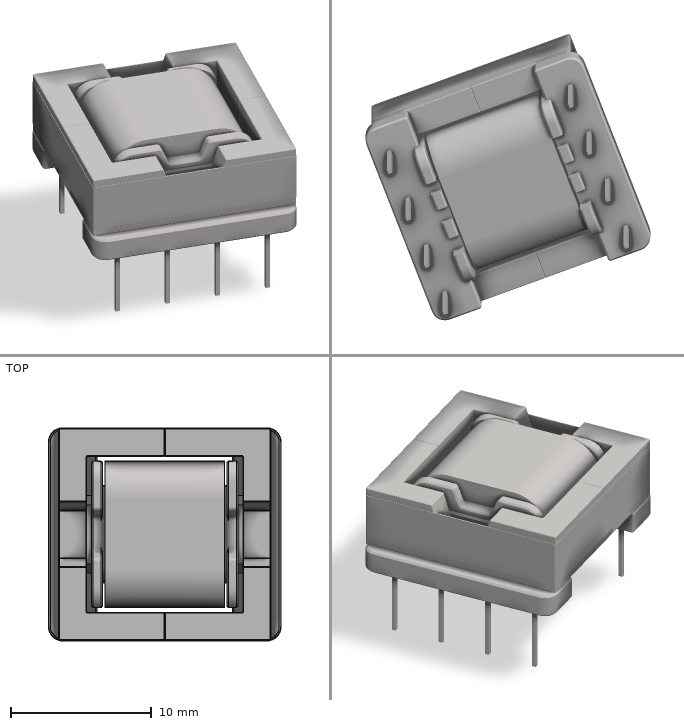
import cadquery as cq


core_length = 15.04
core_width = 15.04
core_height = 4.65
core_edge = 0.05
window_length = 11.1
window_width = 11.06

winding_axis_z = -0.83
leg_width = 5.5
leg_height = 3.06
leg_chamfer = 0.66

notch_top_width = 4.62
notch_floor_width = 3.42
notch_floor_z = 0.37

tape_thickness = 0.03
tape_height = 3.47
tape_corner = 0.15

tube_width = 6.92
tube_height = 4.0
tube_corner = 1.3
tube_top = winding_axis_z + tube_height / 2

flange_width = 10.4
flange_top = 2.58
flange_bottom = -5.72
flange_corner = 1.37
flange_outer_x = 5.2
flange_thickness = 0.8
flange_edge = 0.12
flange_centre_x = flange_outer_x - flange_thickness / 2
flange_height = flange_top - flange_bottom
flange_centre_z = (flange_top + flange_bottom) / 2

flange_notch_top_width = 3.5
flange_notch_floor_width = 2.36
flange_notch_fillet = 0.3

slot_width = 1.08
slot_pitch = 2.26
tab_bottom = -4.9
tab_span = 2 * slot_pitch

bar_outer_x = 8.25
bar_length = 3.45
bar_width = 15.1
bar_top = -2.4
bar_bottom = -4.1
bar_corner = 1.0
bar_edge = 0.13

coil_length = 8.48
coil_width = 10.4
coil_height = 7.48
coil_corner = 2.6

pin_size = 0.3
pin_row_x = 6.875
pin_pitch = 3.7
pins_per_row = 4
pin_bottom = -9.21


def block(length, width, height, centre_x=0, centre_z=0):
    """A plain block, symmetric about the XZ plane."""
    return cq.Workplane("XY").box(length, width, height).translate((centre_x, 0, centre_z))


def tapered_notch(length, top_width, floor_width, top_z, floor_z, centre_x):
    """A cutter with sloping sides, running along X."""
    return (
        cq.Workplane("YZ")
        .moveTo(-top_width / 2, top_z)
        .lineTo(-floor_width / 2, floor_z)
        .lineTo(floor_width / 2, floor_z)
        .lineTo(top_width / 2, top_z)
        .close()
        .extrude(length / 2, both=True)
        .translate((centre_x, 0, 0))
    )


def centre_leg():
    leg = block(window_length, leg_width, leg_height, centre_z=winding_axis_z)
    return leg.edges("|X").chamfer(leg_chamfer)


def core_half(side):
    """One U of the outer core; its broken edges leave a V groove at the joint."""
    half_length = core_length / 2
    wall = (core_length - window_length) / 2
    half = block(half_length, core_width, core_height, side * half_length / 2)
    half = half.cut(block(window_length, window_width, core_height))
    wall_x = side * (half_length - wall / 2)
    notch = tapered_notch(
        2 * wall, notch_top_width, notch_floor_width, core_height / 2, notch_floor_z, wall_x
    )
    return half.cut(notch).edges().chamfer(core_edge)


def tape():
    length = core_length + 2 * tape_thickness
    width = core_width + 2 * tape_thickness
    outer = block(length, width, tape_height).edges("|Z").fillet(tape_corner)
    overlap = 2 * core_edge
    inner = block(core_length - overlap, core_width - overlap, tape_height)
    return outer.cut(inner)


def build_core():
    return core_half(-1).union(core_half(1)).union(centre_leg()).union(tape())


def flange(side):
    """An end cheek with a notched top and slotted feet."""
    x = side * flange_centre_x
    cheek = block(flange_thickness, flange_width, flange_height, x, flange_centre_z)
    cheek = cheek.edges("|X").fillet(flange_corner)
    notch = tapered_notch(
        2 * flange_thickness,
        flange_notch_top_width,
        flange_notch_floor_width,
        flange_top,
        tube_top,
        x,
    )
    gap_height = tab_bottom - flange_bottom
    foot_space = block(
        2 * flange_thickness, tab_span, gap_height, x, flange_bottom + gap_height / 2
    )
    notch = notch.faces("<Z").edges("|X").fillet(flange_notch_fillet)
    cheek = cheek.cut(notch)
    notch_rims = cq.selectors.BoxSelector(
        (-bar_outer_x, -flange_notch_top_width, flange_top - flange_edge),
        (bar_outer_x, flange_notch_top_width, flange_top + flange_edge),
    )
    cheek = cheek.edges("|X").edges(notch_rims).fillet(flange_notch_fillet)
    cheek = cheek.cut(foot_space)
    cheek = cheek.faces("<X or >X").edges().chamfer(flange_edge)
    slot_height = bar_bottom - flange_bottom
    slot = block(
        2 * flange_thickness, slot_width, slot_height, x, flange_bottom + slot_height / 2
    )
    for step in (-1, 0, 1):
        cheek = cheek.cut(slot.translate((0, step * slot_pitch, 0)))
    return cheek


def pin_bar(side):
    height = bar_top - bar_bottom
    x = side * (bar_outer_x - bar_length / 2)
    bar = block(bar_length, bar_width, height, x, (bar_top + bar_bottom) / 2)
    outer_face = ">X" if side > 0 else "<X"
    bar = bar.faces(outer_face).edges("|Z").fillet(bar_corner)
    inner_face = "<X" if side > 0 else ">X"
    bar = bar.faces(inner_face).edges("|Z").chamfer(bar_edge)
    return bar.faces("<Z or >Z").edges().chamfer(bar_edge)


def pin(x, y):
    height = bar_bottom - pin_bottom
    return (
        cq.Workplane("XY", origin=(x, y, pin_bottom))
        .rect(pin_size, pin_size)
        .extrude(height)
    )


def build_wound_bobbin():
    tube_length = 2 * flange_centre_x
    tube = block(tube_length, tube_width, tube_height, centre_z=winding_axis_z)
    body = tube.edges("|X").fillet(tube_corner)
    coil = block(coil_length, coil_width, coil_height, centre_z=winding_axis_z)
    body = body.union(coil.edges("|X").fillet(coil_corner))
    for side in (-1, 1):
        body = body.union(flange(side)).union(pin_bar(side))
        for index in range(pins_per_row):
            y = (index - (pins_per_row - 1) / 2) * pin_pitch
            body = body.union(pin(side * pin_row_x, y))
    return body.cut(centre_leg())


core = build_core()
wound_bobbin = build_wound_bobbin()

result = cq.Compound.makeCompound([core.val(), wound_bobbin.val()])